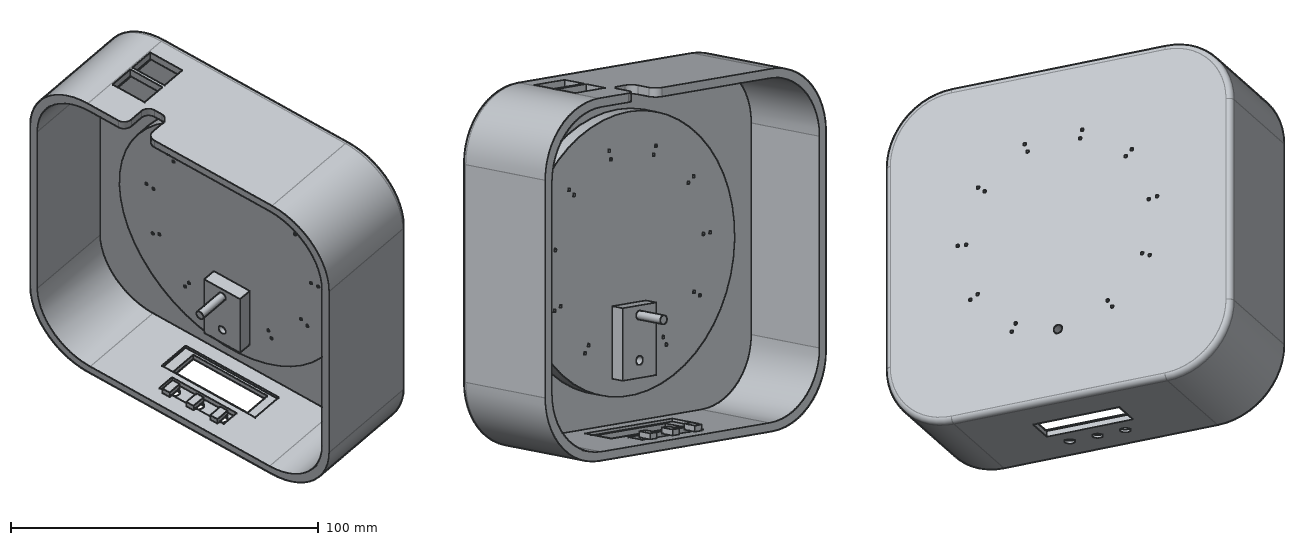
import cadquery as cq
import math

WIDTH = 125.0
HEIGHT = 120.0
DEPTH = 40.0
CORNER_RADIUS = 24.0
WALL = 3.0
INNER_CORNER_RADIUS = 22.0
PANEL_THICKNESS = 7.5
PANEL_EDGE_FILLET = 2.0

MOUTH_Y = -DEPTH / 2
PANEL_OUTER_Y = DEPTH / 2
PANEL_INNER_Y = PANEL_OUTER_Y - PANEL_THICKNESS
FLOOR_Z = -HEIGHT / 2 + WALL
TOP_Z = HEIGHT / 2

PLATE_DIAMETER = 94.0
PLATE_THICKNESS = 5.5
PLATE_FACE_Y = PANEL_INNER_Y - PLATE_THICKNESS

LAMP_COUNT = 10
LAMP_ARC_ANGLE = 300.0
LAMP_STEP_ANGLE = LAMP_ARC_ANGLE / (LAMP_COUNT - 1)
FIRST_LAMP_ANGLE = -62.67
LAMP_RADIUS = 34.7
WIRE_SPACING = 3.0
WIRE_HOLE_DIAMETER = 1.0

BLOCK_WIDTH = 15.0
BLOCK_HEIGHT = 24.0
BLOCK_THICKNESS = 5.0
BLOCK_CENTER_Z = -28.4
BLOCK_FACE_Y = PLATE_FACE_Y - BLOCK_THICKNESS
PIN_DIAMETER = 3.0
PIN_PROJECTION = 11.5
PIN_Z = -19.6
SHAFT_HOLE_SPACING = 15.0
SHAFT_HOLE_Z = PIN_Z - SHAFT_HOLE_SPACING

SWITCH_WIDTH = 13.4
SWITCH_LENGTH = 9.2
SWITCH_CENTER_X = -31.1
SWITCH_CENTERS_Y = (-3.3, 7.0)

NOTCH_CENTER_X = -18.1
NOTCH_WIDTH = 9.0
NOTCH_LENGTH = 11.2
NOTCH_RADIUS = 3.0

DISPLAY_CENTER_Y = 1.1
DISPLAY_SEAT_WIDTH = 39.0
DISPLAY_SEAT_LENGTH = 12.3
DISPLAY_SEAT_DEPTH = 1.0
WINDOW_WIDTH = 31.0
WINDOW_LENGTH = 10.3

BUTTON_PITCH = 10.0
MIDDLE_BUTTON_X = 0.3
BUTTON_CENTERS_X = [MIDDLE_BUTTON_X + step * BUTTON_PITCH for step in (-1, 0, 1)]
BUTTON_HOLE_DIAMETER = 3.5
RECESS_CENTER_Y = -10.5
RECESS_WIDTH = 27.0
RECESS_LENGTH = 6.6
RECESS_DEPTH = 2.0
CLIP_WIDTH = 3.0
CLIP_HEIGHT = 2.0
CLIP_LENGTH = 5.2
CLIP_OVERLAP = 1.2


def block(x_size, y_size, z_size, center):
    return cq.Workplane("XY").box(x_size, y_size, z_size).translate(center)


def cylinder_y(diameter, start_y, end_y, x, z):
    """Cylinder along +Y from start_y to end_y."""
    axis_start = cq.Vector(x, start_y, z)
    solid = cq.Solid.makeCylinder(diameter / 2, end_y - start_y, axis_start, cq.Vector(0, 1, 0))
    return cq.Workplane("XY").add(solid)


def make_shell():
    shell = block(WIDTH, DEPTH, HEIGHT, (0, 0, 0))
    shell = shell.edges("|Y").fillet(CORNER_RADIUS)
    shell = shell.faces(">Y").edges().fillet(PANEL_EDGE_FILLET)
    cavity_depth = PANEL_INNER_Y - MOUTH_Y
    cavity_center = (0, MOUTH_Y + cavity_depth / 2, 0)
    cavity = block(WIDTH - 2 * WALL, cavity_depth, HEIGHT - 2 * WALL, cavity_center)
    return shell.cut(cavity.edges("|Y").fillet(INNER_CORNER_RADIUS))


def make_plate():
    return cylinder_y(PLATE_DIAMETER, PLATE_FACE_Y, PANEL_INNER_Y, 0, 0)


def make_pin_block():
    center = (0, BLOCK_FACE_Y + BLOCK_THICKNESS / 2, BLOCK_CENTER_Z)
    return block(BLOCK_WIDTH, BLOCK_THICKNESS, BLOCK_HEIGHT, center)


def make_wire_holes():
    holes = cq.Workplane("XY")
    for index in range(LAMP_COUNT):
        angle = math.radians(FIRST_LAMP_ANGLE + index * LAMP_STEP_ANGLE)
        for offset in (-WIRE_SPACING / 2, WIRE_SPACING / 2):
            radius = LAMP_RADIUS + offset
            x = radius * math.cos(angle)
            z = radius * math.sin(angle)
            holes = holes.add(cylinder_y(WIRE_HOLE_DIAMETER, PLATE_FACE_Y, PANEL_OUTER_Y, x, z))
    return holes.combine()


def make_switch_openings():
    centers = [(SWITCH_CENTER_X, y) for y in SWITCH_CENTERS_Y]
    top = cq.Workplane("XY", origin=(0, 0, TOP_Z - WALL))
    return top.pushPoints(centers).rect(SWITCH_WIDTH, SWITCH_LENGTH).extrude(WALL)


def make_cable_notch():
    """Slot open at the mouth, with rounded inner corners and flared lips."""
    half = NOTCH_WIDTH / 2
    r = NOTCH_RADIUS
    arc_inset = r - r * math.sqrt(0.5)
    end_y = MOUTH_Y + NOTCH_LENGTH
    outline = (
        cq.Workplane("XY", origin=(NOTCH_CENTER_X, 0, TOP_Z - WALL))
        .moveTo(-half - r, MOUTH_Y)
        .threePointArc((-half - arc_inset, MOUTH_Y + arc_inset), (-half, MOUTH_Y + r))
        .lineTo(-half, end_y - r)
        .threePointArc((-half + arc_inset, end_y - arc_inset), (-half + r, end_y))
        .lineTo(half - r, end_y)
        .threePointArc((half - arc_inset, end_y - arc_inset), (half, end_y - r))
        .lineTo(half, MOUTH_Y + r)
        .threePointArc((half + arc_inset, MOUTH_Y + arc_inset), (half + r, MOUTH_Y))
        .close()
    )
    return outline.extrude(WALL)


def make_display_opening():
    floor = cq.Workplane("XY", origin=(0, DISPLAY_CENTER_Y, FLOOR_Z))
    seat = floor.rect(DISPLAY_SEAT_WIDTH, DISPLAY_SEAT_LENGTH).extrude(-DISPLAY_SEAT_DEPTH)
    window = floor.rect(WINDOW_WIDTH, WINDOW_LENGTH).extrude(-WALL)
    return seat.union(window)


def make_button_recess():
    floor = cq.Workplane("XY", origin=(0, RECESS_CENTER_Y, FLOOR_Z))
    recess = floor.rect(RECESS_WIDTH, RECESS_LENGTH).extrude(-RECESS_DEPTH)
    hole_centers = [(x, 0) for x in BUTTON_CENTERS_X]
    holes = floor.pushPoints(hole_centers).circle(BUTTON_HOLE_DIAMETER / 2).extrude(-WALL)
    return recess.union(holes)


def make_button_clips():
    """Small bars that rest on the floor and reach over the button recess."""
    front_y = RECESS_CENTER_Y - RECESS_LENGTH / 2 - CLIP_OVERLAP
    clip_centers = [(x, front_y + CLIP_LENGTH / 2) for x in BUTTON_CENTERS_X]
    floor = cq.Workplane("XY", origin=(0, 0, FLOOR_Z))
    return floor.pushPoints(clip_centers).rect(CLIP_WIDTH, CLIP_LENGTH).extrude(CLIP_HEIGHT)


def make_housing():
    housing = make_shell().union(make_plate()).union(make_pin_block())
    housing = housing.cut(make_wire_holes())
    housing = housing.cut(cylinder_y(PIN_DIAMETER, BLOCK_FACE_Y, PANEL_OUTER_Y, 0, SHAFT_HOLE_Z))
    housing = housing.cut(cylinder_y(PIN_DIAMETER, BLOCK_FACE_Y, PLATE_FACE_Y, 0, PIN_Z))
    housing = housing.cut(make_switch_openings())
    housing = housing.cut(make_cable_notch())
    housing = housing.cut(make_display_opening())
    housing = housing.cut(make_button_recess())
    return housing.union(make_button_clips())


def make_pin():
    """Pin seated through the full thickness of the block."""
    return cylinder_y(PIN_DIAMETER, BLOCK_FACE_Y - PIN_PROJECTION, PLATE_FACE_Y, 0, PIN_Z)


housing = make_housing()
pin = make_pin()
result = cq.Compound.makeCompound([housing.val(), pin.val()])